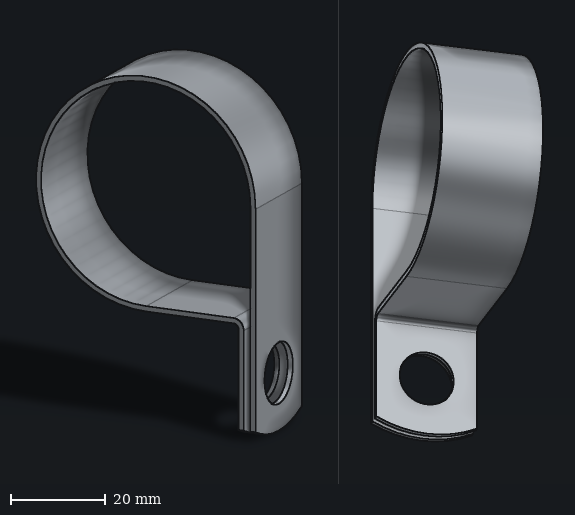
import cadquery as cq
import math

strap_width = 22.23
strap_thickness = 1.22

loop_outer_radius = 25.82
loop_inner_radius = loop_outer_radius - strap_thickness

tab_gap = 1.58
tab_end_z = -51.59
tab_end_radius = 25.4
bend_inner_radius = 1.2
bend_outer_radius = bend_inner_radius + strap_thickness

short_tab_hole_diameter = 11.9
long_tab_hole_diameter = 13.5
hole_to_tab_end = 12.7

short_tab_outer_x = loop_inner_radius - tab_gap
short_tab_inner_x = short_tab_outer_x - strap_thickness
bend_center_x = short_tab_inner_x - bend_inner_radius
bend_center_z = -loop_outer_radius - bend_inner_radius


def point_on_arc(center_x, center_z, radius, angle_deg):
    angle = math.radians(angle_deg)
    return (center_x + radius * math.cos(angle), center_z + radius * math.sin(angle))


def make_strap():
    """Strap profile in XZ: long tab, three-quarter loop, flat shelf, bend and short tab."""
    outer_loop_middle = point_on_arc(0, 0, loop_outer_radius, 135)
    inner_loop_middle = point_on_arc(0, 0, loop_inner_radius, 135)
    inner_bend_middle = point_on_arc(bend_center_x, bend_center_z, bend_inner_radius, 45)
    outer_bend_middle = point_on_arc(bend_center_x, bend_center_z, bend_outer_radius, 45)
    return (
        cq.Workplane("XZ")
        .moveTo(loop_outer_radius, tab_end_z)
        .lineTo(loop_outer_radius, 0)
        .threePointArc(outer_loop_middle, (0, -loop_outer_radius))
        .lineTo(bend_center_x, -loop_outer_radius)
        .threePointArc(inner_bend_middle, (short_tab_inner_x, bend_center_z))
        .lineTo(short_tab_inner_x, tab_end_z)
        .lineTo(short_tab_outer_x, tab_end_z)
        .lineTo(short_tab_outer_x, bend_center_z)
        .threePointArc(outer_bend_middle, (bend_center_x, -loop_inner_radius))
        .lineTo(0, -loop_inner_radius)
        .threePointArc(inner_loop_middle, (loop_inner_radius, 0))
        .lineTo(loop_inner_radius, tab_end_z)
        .close()
        .extrude(strap_width / 2, both=True)
    )


def make_tab_end_trim():
    """Outline in YZ, full width above and a shallow arc below, that rounds both tab ends."""
    half_width = strap_width / 2
    arc_depth = tab_end_radius - math.sqrt(tab_end_radius**2 - half_width**2)
    corner_z = tab_end_z + arc_depth
    return (
        cq.Workplane("YZ")
        .moveTo(-half_width, loop_outer_radius)
        .lineTo(-half_width, corner_z)
        .threePointArc((0, tab_end_z), (half_width, corner_z))
        .lineTo(half_width, loop_outer_radius)
        .close()
        .extrude(loop_outer_radius, both=True)
    )


def make_bolt_hole(diameter, tab_inner_x):
    """Cylinder along +X through one tab, starting at the tab's inner face."""
    return (
        cq.Workplane("YZ", origin=(tab_inner_x, 0, tab_end_z + hole_to_tab_end))
        .circle(diameter / 2)
        .extrude(strap_thickness)
    )


result = (
    make_strap()
    .intersect(make_tab_end_trim())
    .cut(make_bolt_hole(short_tab_hole_diameter, short_tab_inner_x))
    .cut(make_bolt_hole(long_tab_hole_diameter, loop_inner_radius))
)